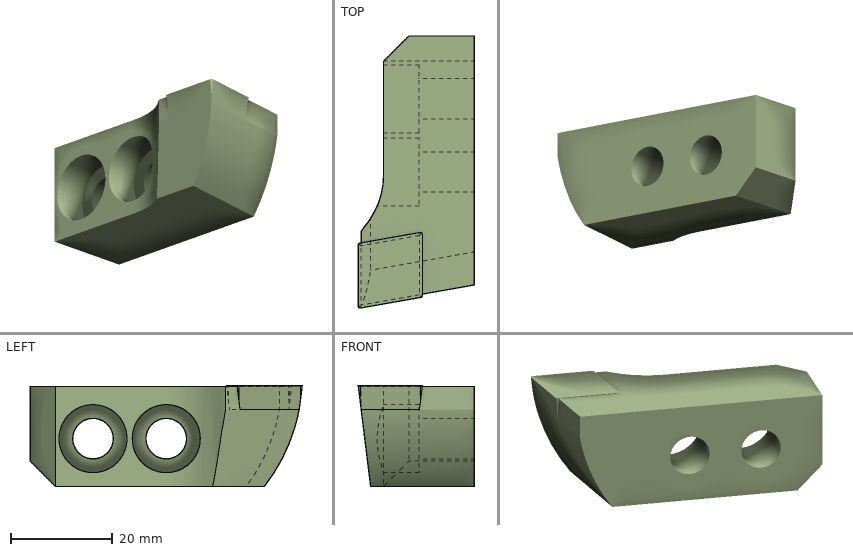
import cadquery as cq
import math

TOTAL_WIDTH = 23.0
TOTAL_LENGTH = 53.9
TOTAL_HEIGHT = 20.0
HOLDER_HEIGHT = 19.85

INSERT_WIDTH = 12.7
INSERT_THICKNESS = 4.75
TIP_RADIUS = 0.4
LEAD_ANGLE = 10.0
RELIEF_ANGLE = 7.0

SHANK_WIDTH = 18.0
END_CHAMFER = 5.0
NECK_RADIUS = 15.8
NECK_START_Y = 26.35
NECK_END_Y = 16.0
SHOULDER_Y = 15.2
NOSE_RADIUS = 35.05
NOSE_SETBACK = 6.45

HOLE_DIAMETER = 8.0
COUNTERBORE_DIAMETER = 13.5
COUNTERBORE_DEPTH = 7.0
HOLE_HEIGHT = 9.5
FIRST_HOLE_Y = 26.95
HOLE_SPACING = 14.5

LEAD_SLOPE = math.tan(math.radians(LEAD_ANGLE))
LEAD_COSINE = math.cos(math.radians(LEAD_ANGLE))
RELIEF_SLOPE = math.tan(math.radians(RELIEF_ANGLE))
SEAT_Z = TOTAL_HEIGHT - INSERT_THICKNESS
SHANK_X = TOTAL_WIDTH - SHANK_WIDTH
SEAT_INSET = INSERT_THICKNESS * RELIEF_SLOPE
ROUND_DEPTH = TIP_RADIUS / RELIEF_SLOPE
CUT_MARGIN = 5.4


def draw_insert_core():
    """Sharp rhombus at the height where the corner rounds vanish."""
    core_width = INSERT_WIDTH - 2 * TIP_RADIUS
    core_side = core_width / LEAD_COSINE
    rise = core_width * LEAD_SLOPE
    return (
        cq.Workplane("XY", origin=(TIP_RADIUS, TIP_RADIUS, TOTAL_HEIGHT - ROUND_DEPTH))
        .polyline([(0, 0), (core_width, rise), (core_width, rise + core_side), (0, core_side)])
        .close()
    )


def make_insert():
    """Rhombic insert whose corner rounds shrink to nothing partway down the flanks."""
    upper = draw_insert_core().extrude(ROUND_DEPTH, taper=-RELIEF_ANGLE)
    lower = draw_insert_core().extrude(ROUND_DEPTH - INSERT_THICKNESS, taper=RELIEF_ANGLE)
    return upper.union(lower)


def front_y(x):
    """Y of the holder's upright front face, flush with the insert's lower front edge."""
    tip_center_to_face = (TIP_RADIUS - SEAT_INSET) / LEAD_COSINE
    return TIP_RADIUS - tip_center_to_face + (x - TIP_RADIUS) * LEAD_SLOPE


def make_holder_blank():
    """Plan outline with a concave neck, a corner chamfer and a slanted front."""
    neck_drop = NECK_START_Y - NECK_END_Y
    neck_end_x = SHANK_X - NECK_RADIUS + math.sqrt(NECK_RADIUS**2 - neck_drop**2)
    half_angle = math.asin(neck_drop / NECK_RADIUS) / 2
    neck_middle = (
        SHANK_X - NECK_RADIUS * (1 - math.cos(half_angle)),
        NECK_START_Y - NECK_RADIUS * math.sin(half_angle),
    )
    return (
        cq.Workplane("XY")
        .moveTo(SEAT_INSET, front_y(SEAT_INSET))
        .lineTo(TOTAL_WIDTH, front_y(TOTAL_WIDTH))
        .lineTo(TOTAL_WIDTH, TOTAL_LENGTH)
        .lineTo(SHANK_X + END_CHAMFER, TOTAL_LENGTH)
        .lineTo(SHANK_X, TOTAL_LENGTH - END_CHAMFER)
        .lineTo(SHANK_X, NECK_START_Y)
        .threePointArc(neck_middle, (neck_end_x, NECK_END_Y))
        .lineTo(SEAT_INSET, SHOULDER_Y)
        .close()
        .extrude(HOLDER_HEIGHT)
    )


def make_bottom_chamfer_cut():
    """Wedge along the bottom edge at the rear end."""
    return (
        cq.Workplane("YZ")
        .polyline([(TOTAL_LENGTH - END_CHAMFER, 0), (TOTAL_LENGTH, 0), (TOTAL_LENGTH, END_CHAMFER)])
        .close()
        .extrude(TOTAL_WIDTH)
    )


def make_side_relief_cut():
    """Wedge that leans the side below the insert seat inward."""
    bottom_x = SEAT_INSET + SEAT_Z * RELIEF_SLOPE
    return (
        cq.Workplane("XZ")
        .polyline([(SEAT_INSET, SEAT_Z), (bottom_x, 0), (SEAT_INSET, 0)])
        .close()
        .extrude(-NECK_START_Y)
    )


def make_nose_relief_cut():
    """Region below the convex front, swept along the slanted front face."""
    lead = math.radians(LEAD_ANGLE)
    front_plane = cq.Plane(
        origin=(SEAT_INSET, front_y(SEAT_INSET), 0),
        xDir=(-math.sin(lead), math.cos(lead), 0),
        normal=(math.cos(lead), math.sin(lead), 0),
    )
    return (
        cq.Workplane(front_plane)
        .workplane(offset=-CUT_MARGIN)
        .moveTo(0, SEAT_Z)
        .radiusArc((NOSE_SETBACK, 0), -NOSE_RADIUS)
        .lineTo(NOSE_SETBACK, -CUT_MARGIN)
        .lineTo(-CUT_MARGIN, -CUT_MARGIN)
        .lineTo(-CUT_MARGIN, SEAT_Z)
        .close()
        .extrude(TOTAL_WIDTH + 2 * CUT_MARGIN)
    )


def make_mounting_hole(y):
    """Through hole along X with its counterbore opening on the neck side."""
    side = cq.Workplane("YZ").center(y, HOLE_HEIGHT)
    through = side.circle(HOLE_DIAMETER / 2).extrude(TOTAL_WIDTH)
    counterbore = side.circle(COUNTERBORE_DIAMETER / 2).extrude(SHANK_X + COUNTERBORE_DEPTH)
    return through.union(counterbore)


def make_holder(insert):
    """Holder with relieved faces, mounting holes and a pocket matching the insert."""
    holder = (
        make_holder_blank()
        .cut(make_bottom_chamfer_cut())
        .cut(make_side_relief_cut())
        .cut(make_nose_relief_cut())
    )
    for index in range(2):
        holder = holder.cut(make_mounting_hole(FIRST_HOLE_Y + index * HOLE_SPACING))
    return holder.cut(insert)


insert = make_insert()
holder = make_holder(insert)

result = cq.Compound.makeCompound([holder.solids().val(), insert.solids().val()])